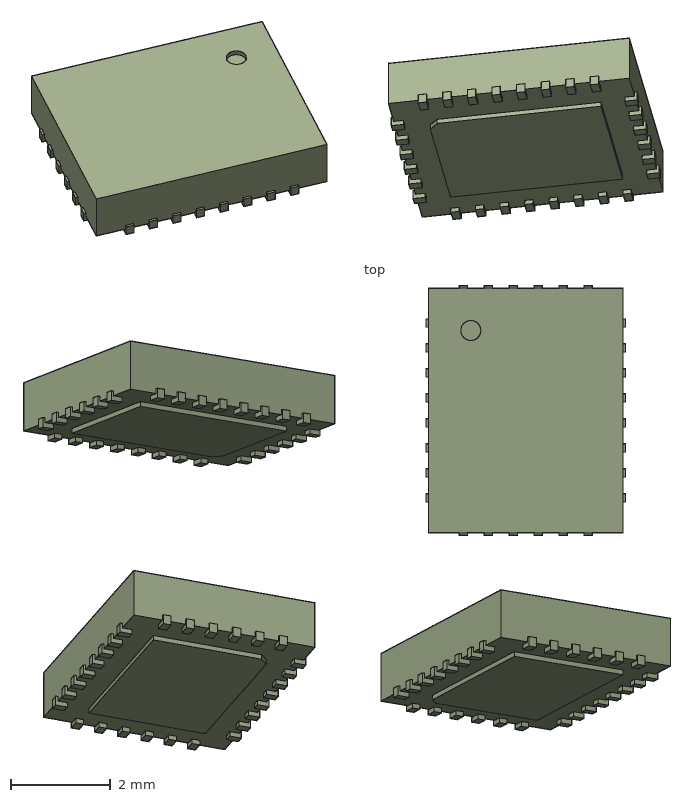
import cadquery as cq

overall_x = 4.0
overall_y = 5.0
overall_z = 1.1

lead_reach = 0.05
standoff = 0.1
body_x = overall_x - 2 * lead_reach
body_y = overall_y - 2 * lead_reach

lead_pitch = 0.5
lead_width = 0.17
lead_height = 0.2
foot_length = 0.25
leads_per_x_side = 8
leads_per_y_side = 6

pad_x = 2.5
pad_y = 3.5
pad_chamfer = 0.17

dimple_diameter = 0.4
dimple_depth = 0.1
dimple_inset = 0.85


def make_body():
    height = overall_z - standoff
    body = cq.Workplane("XY").workplane(offset=standoff)
    body = body.rect(body_x, body_y).extrude(height)
    dimple = (
        cq.Workplane("XY")
        .workplane(offset=overall_z - dimple_depth)
        .center(dimple_inset - body_x / 2, body_y / 2 - dimple_inset)
        .circle(dimple_diameter / 2)
        .extrude(dimple_depth)
    )
    return body.cut(dimple)


def make_pad():
    pad = cq.Workplane("XY").rect(pad_x, pad_y).extrude(standoff)
    return pad.edges("|Z and <X and >Y").chamfer(pad_chamfer)


def make_lead_row(count, outer):
    """Row of L-shaped leads on the +X side, with outer faces at X = outer."""
    profile = [
        (outer - foot_length, 0),
        (outer, 0),
        (outer, lead_height),
        (outer - lead_reach, lead_height),
        (outer - lead_reach, standoff),
        (outer - foot_length, standoff),
    ]
    lead = cq.Workplane("XZ").polyline(profile).close().extrude(lead_width / 2, both=True)
    offsets = [(index - (count - 1) / 2) * lead_pitch for index in range(count)]
    return [lead.translate((0, offset, 0)) for offset in offsets]


x_side_row = make_lead_row(leads_per_x_side, overall_x / 2)
y_side_row = make_lead_row(leads_per_y_side, overall_y / 2)

result = make_body().union(make_pad())
for row, angle in ((x_side_row, 0), (y_side_row, 90), (x_side_row, 180), (y_side_row, 270)):
    for lead in row:
        result = result.union(lead.rotate((0, 0, 0), (0, 0, 1), angle))